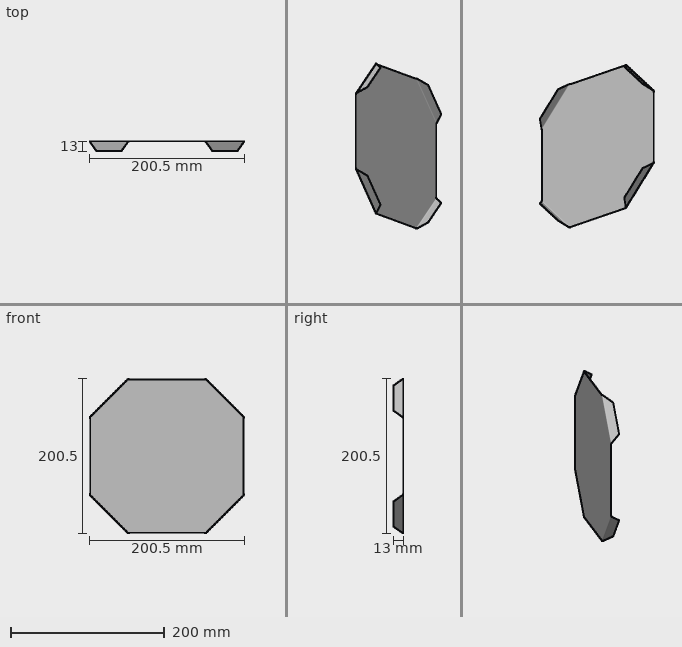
import cadquery as cq
import math

overall_size = 200.5
depth = 13.0
thickness = 0.5
inner_bend_radius = 1.2
tab_width = 72.0

outer_bend_radius = inner_bend_radius + thickness
corner_reach = outer_bend_radius * (math.sqrt(2) - 1)
plate_half = (overall_size - corner_reach * math.sqrt(2)) / 2
bend_start = plate_half * math.sqrt(2) - tab_width / 2
tab_distance = bend_start + outer_bend_radius
corner_cut = 2 * plate_half - bend_start * math.sqrt(2)


def make_plate():
    """Flat octagonal sheet in XY, with its back face at Z = 0."""
    side = 2 * plate_half
    block = cq.Workplane("XY").box(side, side, thickness, centered=(True, True, False))
    return block.edges("|Z").chamfer(corner_cut)


def make_tab():
    """Bent tab on the +X side, rising along +Z, with 45 degree tapered ends."""
    arc = math.sqrt(0.5)
    bend_height = outer_bend_radius
    strip = (
        cq.Workplane("XZ")
        .moveTo(bend_start, 0)
        .threePointArc(
            (bend_start + outer_bend_radius * arc, bend_height - outer_bend_radius * arc),
            (tab_distance, bend_height),
        )
        .lineTo(tab_distance, depth)
        .lineTo(tab_distance - thickness, depth)
        .lineTo(tab_distance - thickness, bend_height)
        .threePointArc(
            (bend_start + inner_bend_radius * arc, bend_height - inner_bend_radius * arc),
            (bend_start, thickness),
        )
        .close()
        .extrude(tab_width / 2, both=True)
    )
    root = tab_width / 2
    tip = root - depth
    taper = (
        cq.Workplane("YZ")
        .moveTo(0, 0)
        .lineTo(root, 0)
        .lineTo(tip, depth)
        .lineTo(0, depth)
        .mirrorY()
        .extrude(overall_size)
    )
    return strip.intersect(taper)


body = make_plate()
tab = make_tab()
for angle in (45, 135, 225, 315):
    body = body.union(tab.rotate((0, 0, 0), (0, 0, 1), angle))

result = body.rotate((0, 0, 0), (1, 0, 0), 90)